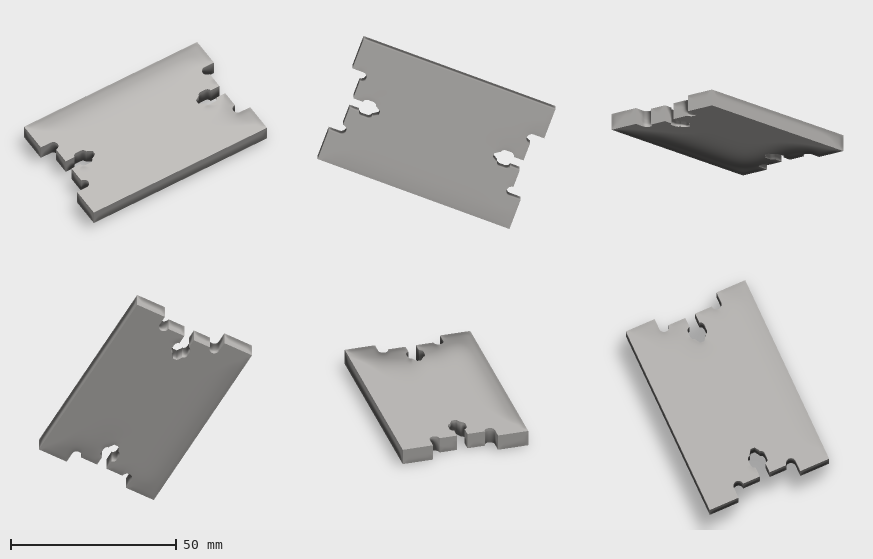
import cadquery as cq

width = 39.6
length = 62.0
thickness = 5.0

recess_width = 20.5
recess_depth = 3.5
relief_radius = 1.55

slot_width = 3.3
slot_depth = 12.5
taper_start = 11.05
tip_width = 1.35

pocket_width = 5.45
pocket_start = 6.6
pocket_end = 10.85
pocket_corner_radius = 1.3


def cutter_box(box_width, start_depth, end_depth):
    """Through-thickness box between two depths from the +Y end."""
    return (
        cq.Workplane("XY")
        .box(box_width, end_depth - start_depth, thickness, centered=(True, False, False))
        .translate((0, length / 2 - end_depth, 0))
    )


def cutter_cylinders(points, radius):
    """Through-thickness cylinders at the given XY points."""
    return cq.Workplane("XY").pushPoints(points).circle(radius).extrude(thickness)


def tapered_tip():
    """Trapezoidal inner end of the slot."""
    taper_y = length / 2 - taper_start
    tip_y = length / 2 - slot_depth
    outline = [
        (-slot_width / 2, taper_y),
        (-tip_width / 2, tip_y),
        (tip_width / 2, tip_y),
        (slot_width / 2, taper_y),
    ]
    return cq.Workplane("XY").polyline(outline).close().extrude(thickness)


def end_cutter():
    """Everything removed from the +Y end."""
    recess = cutter_box(recess_width, 0, recess_depth)

    relief_x = recess_width / 2 - relief_radius
    relief_y = length / 2 - recess_depth
    reliefs = cutter_cylinders([(-relief_x, relief_y), (relief_x, relief_y)], relief_radius)

    slot = cutter_box(slot_width, 0, taper_start)
    slot_tip = tapered_tip()

    pocket = cutter_box(pocket_width, pocket_start, pocket_end)
    pocket = pocket.edges("|Z").fillet(pocket_corner_radius)

    return recess.union(reliefs).union(slot).union(slot_tip).union(pocket)


plate = cq.Workplane("XY").box(width, length, thickness, centered=(True, True, False))
cutter = end_cutter()
result = plate.cut(cutter).cut(cutter.mirror("XZ"))